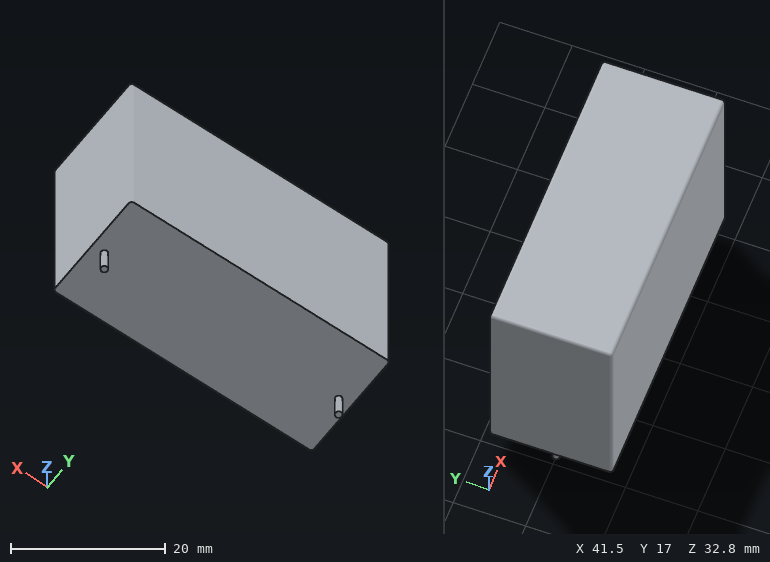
import cadquery as cq

length = 41.5
width = 17.0
height = 29.0
edge_radius = 0.5

lead_pitch = 37.5
lead_diameter = 1.0
lead_length = 3.8


def make_housing():
    """Box standing on Z = 0, rounded on its upright and top edges."""
    box = cq.Workplane("XY").box(length, width, height, centered=(True, True, False))
    return box.edges("|Z or >Z").fillet(edge_radius)


def make_lead(x):
    """Round lead hanging from the housing's underside."""
    return cq.Workplane("XY").center(x, 0).circle(lead_diameter / 2).extrude(-lead_length)


housing = make_housing()
leads = [make_lead(side * lead_pitch / 2) for side in (-1, 1)]

result = cq.Compound.makeCompound([housing.val(), *[lead.val() for lead in leads]])